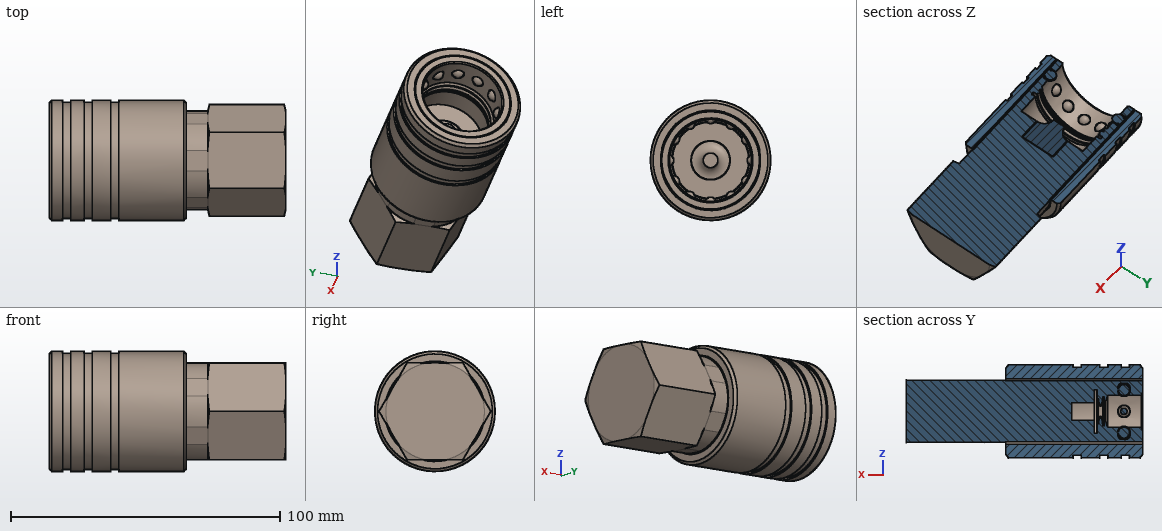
import cadquery as cq
import math


total_length = 88.0
sleeve_diameter = 44.8
sleeve_radius = sleeve_diameter / 2

sleeve_length = 51.0
sleeve_chamfer = 1.1
sleeve_bore_radius = 18.6
grip_groove_starts = (5.0, 13.0, 23.0)
grip_groove_width = 3.0
grip_groove_depth = 0.7

neck_radius = 18.4
barrel_radius = 18.1
hex_start = 59.0
hex_across_flats = 36.0
hex_across_corners = hex_across_flats / math.cos(math.pi / 6)
hex_corner_chamfer_radius = 18.3
hex_corner_chamfer_length = 0.6

mouth_chamfer = 0.5
socket_radius = 15.2
throat_radius = 14.4
throat_start = 13.8
socket_depth = 26.4

seal_groove_start = 14.4
seal_bead_radius = 0.9
seal_groove_gap = 0.4
seal_bead_start = seal_groove_start + seal_groove_gap
seal_bead_end = seal_bead_start + 2 * seal_bead_radius
seal_crest_radius = 14.2
seal_center_radius = seal_crest_radius + seal_bead_radius

relief_start = 17.1
relief_width = 1.0
relief_depth = 1.8

ball_count = 12
ball_radius = 2.2
ball_tip_radius = 13.6
ball_center_radius = ball_tip_radius + ball_radius
ball_position = 7.0
ball_clearance = 0.1
ball_pocket_radius = ball_radius + ball_clearance
ball_floor_sink = 0.7
ball_floor_radius = ball_center_radius + ball_radius - ball_floor_sink

poppet_radius = 7.1
poppet_clearance = 0.2
poppet_tip_radius = 2.7
poppet_flare_radius = poppet_radius - poppet_tip_radius
poppet_well_depth = 8.8
poppet_well_end = socket_depth + poppet_well_depth


def cylinder(start, length, radius):
    """Solid cylinder on the X axis."""
    return cq.Workplane("YZ").workplane(offset=start).circle(radius).extrude(length)


def ring(start, length, inner_radius, outer_radius):
    """Tube on the X axis."""
    return cylinder(start, length, outer_radius).cut(cylinder(start, length, inner_radius))


def revolve_about_x(profile):
    """Turn a closed profile, drawn as (x, radius) points, about the X axis."""
    return profile.close().revolve(360, (0, 0, 0), (1, 0, 0))


def hexagon(start, end):
    """Hexagonal bar on the X axis with two flats facing up and down."""
    plane = cq.Workplane("YZ").workplane(offset=start)
    return plane.polygon(6, hex_across_corners).extrude(end - start)


def make_sleeve():
    sleeve = cylinder(0, sleeve_length, sleeve_radius).edges().chamfer(sleeve_chamfer)
    sleeve = sleeve.cut(cylinder(0, sleeve_length, sleeve_bore_radius))
    for start in grip_groove_starts:
        groove_floor = sleeve_radius - grip_groove_depth
        sleeve = sleeve.cut(ring(start, grip_groove_width, groove_floor, sleeve_radius))
    return sleeve


def make_hex_end():
    """Hexagon whose corners are trimmed by a shallow cone at both ends."""
    corner_radius = hex_across_corners / 2
    trim = revolve_about_x(
        cq.Workplane("XY")
        .moveTo(hex_start, 0)
        .lineTo(hex_start, hex_corner_chamfer_radius)
        .lineTo(hex_start + hex_corner_chamfer_length, corner_radius)
        .lineTo(total_length - hex_corner_chamfer_length, corner_radius)
        .lineTo(total_length, hex_corner_chamfer_radius)
        .lineTo(total_length, 0)
    )
    return hexagon(hex_start, total_length).intersect(trim)


def make_barrel_and_neck():
    """Round barrel inside the sleeve, and the neck behind it with the hexagon's flats cut along it."""
    neck_length = hex_start - sleeve_length
    neck = cylinder(sleeve_length, neck_length, neck_radius).intersect(hexagon(sleeve_length, hex_start))
    return cylinder(0, sleeve_length, barrel_radius).union(neck)


def make_socket_cavity():
    """Stepped bore of the socket with the seal bead and the relief groove in its wall."""
    lead_in = socket_radius - throat_radius
    bead_middle = seal_bead_start + seal_bead_radius
    return revolve_about_x(
        cq.Workplane("XY")
        .moveTo(0, 0)
        .lineTo(0, socket_radius + mouth_chamfer)
        .lineTo(mouth_chamfer, socket_radius)
        .lineTo(throat_start - lead_in, socket_radius)
        .lineTo(throat_start, throat_radius)
        .lineTo(seal_groove_start, throat_radius)
        .lineTo(seal_groove_start, seal_center_radius)
        .lineTo(seal_bead_start, seal_center_radius)
        .threePointArc((bead_middle, seal_crest_radius), (seal_bead_end, seal_center_radius))
        .lineTo(seal_bead_end, throat_radius)
        .lineTo(relief_start, throat_radius)
        .lineTo(relief_start, throat_radius + relief_depth)
        .lineTo(relief_start + relief_width, throat_radius + relief_depth)
        .lineTo(relief_start + relief_width, throat_radius)
        .lineTo(socket_depth, throat_radius)
        .lineTo(socket_depth, 0)
    )


def add_locking_balls(body):
    """Sink a radial pocket for each ball and set the ball into it."""
    pocket = (
        cq.Workplane("XY")
        .center(ball_position, 0)
        .circle(ball_pocket_radius)
        .extrude(ball_floor_radius)
    )
    ball = cq.Workplane("XY").sphere(ball_radius).translate((ball_position, 0, ball_center_radius))
    for index in range(ball_count):
        angle = index * 360 / ball_count
        body = body.cut(pocket.rotate((0, 0, 0), (1, 0, 0), angle), clean=False)
        body = body.union(ball.rotate((0, 0, 0), (1, 0, 0), angle), clean=False)
    return body


def make_body():
    body = make_barrel_and_neck().union(make_hex_end(), clean=False)
    body = body.cut(make_socket_cavity(), clean=False)
    body = body.cut(cylinder(socket_depth, poppet_well_depth, poppet_radius + poppet_clearance), clean=False)
    return add_locking_balls(body)


def make_poppet():
    """Round plug whose front flares down to a small flat tip."""
    tip = socket_depth - poppet_flare_radius
    diagonal = poppet_flare_radius * math.sqrt(0.5)
    flare_middle = (tip + diagonal, poppet_radius - diagonal)
    return revolve_about_x(
        cq.Workplane("XY")
        .moveTo(tip, 0)
        .lineTo(tip, poppet_tip_radius)
        .threePointArc(flare_middle, (socket_depth, poppet_radius))
        .lineTo(poppet_well_end, poppet_radius)
        .lineTo(poppet_well_end, 0)
    )


sleeve = make_sleeve()
body = make_body()
poppet = make_poppet()

result = cq.Compound.makeCompound([sleeve.val(), body.val(), poppet.val()])